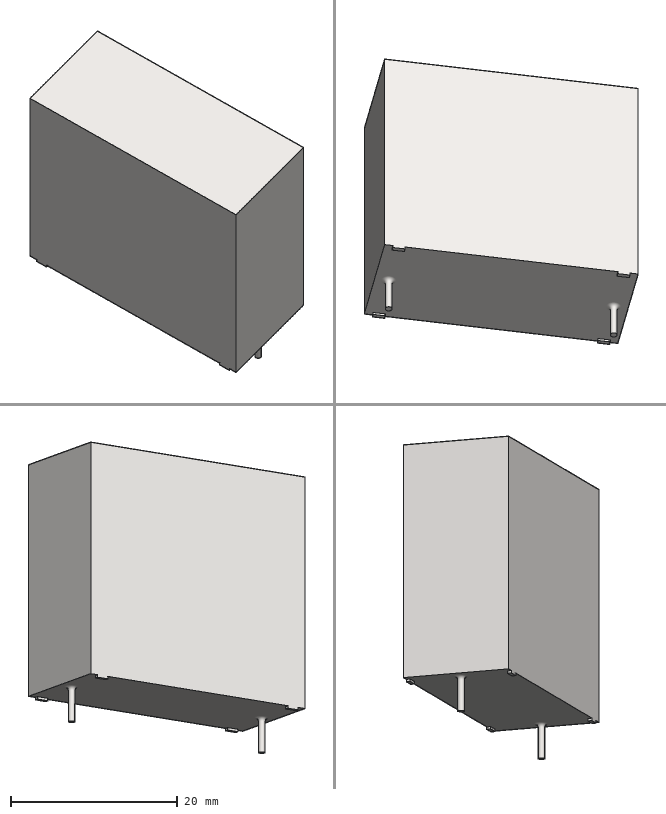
import cadquery as cq
import math

case_length = 31.0
case_width = 13.5
overall_height = 33.0

foot_length = 1.5
foot_width = 0.5
foot_height = 0.3

lead_diameter = 0.8
lead_pitch = 27.5
lead_below_feet = 4.0

flare_radius = 0.5

lead_length = foot_height + lead_below_feet
case_height = overall_height - lead_length
lead_radius = lead_diameter / 2
lead_x_positions = (-lead_pitch / 2, lead_pitch / 2)


def make_case():
    """Plain rectangular case with its underside at Z = 0."""
    return cq.Workplane("XY").box(case_length, case_width, case_height, centered=(True, True, False))


def make_feet():
    """Four feet in line with the leads, flush with the long side faces."""
    foot_y = (case_width - foot_width) / 2
    centres = [(x, side * foot_y) for x in lead_x_positions for side in (-1, 1)]
    return (
        cq.Workplane("XY")
        .pushPoints(centres)
        .rect(foot_length, foot_width)
        .extrude(-foot_height)
    )


def make_lead(x):
    """Round lead that widens through a concave flare where it meets the case."""
    flare_arc_inset = flare_radius * (1 - math.sqrt(0.5))
    profile = (
        cq.Workplane("XZ")
        .lineTo(lead_radius + flare_radius, 0)
        .threePointArc(
            (lead_radius + flare_arc_inset, -flare_arc_inset),
            (lead_radius, -flare_radius),
        )
        .lineTo(lead_radius, -lead_length)
        .lineTo(0, -lead_length)
        .close()
    )
    return profile.revolve(360, (0, 0, 0), (0, 1, 0)).translate((x, 0, 0))


result = make_case().union(make_feet())
for lead_x in lead_x_positions:
    result = result.union(make_lead(lead_x))